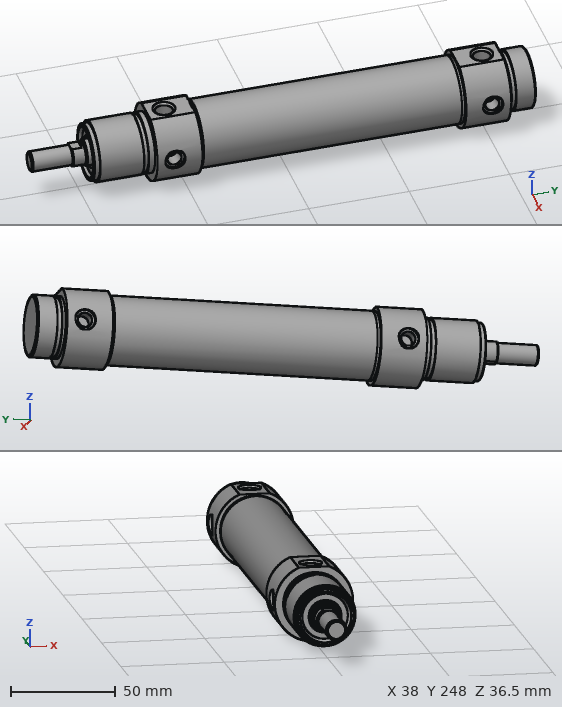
import cadquery as cq
import math

length = 248.0

thread_d = 10.0
thread_length = 20.0
tip_chamfer = 0.7
rod_d = 12.0
rod_end_d = 11.5
rod_end_length = 6.5
rod_chamfer = 0.5
across_flats = 10.0
flat_length = 5.2

head_d = 38.0
neck_d = 30.0
groove_d = 28.0
barrel_d = 33.5
head_length = 22.3
collar_length = 1.5
groove_width = 2.35

front_face_y = 28.0
lip_length = 3.0
lip_chamfer = 0.5
nose_length = 21.8
front_neck_length = 3.0

recess_mouth_d = 24.8
recess_floor_d = 22.0
recess_depth = 1.7
wiper_d = 13.0
wiper_height = 0.7
wiper_groove_mouth_d = 15.9
wiper_groove_floor_d = 14.5
wiper_groove_depth = 1.2

cap_length = 10.0
cap_bevel_length = 0.7
cap_face_d = 28.0
rear_neck_length = 1.5

flat_z = 17.48
port_offset = 13.5
port_d = 8.7
port_mouth_d = 11.0
port_chamfer = (port_mouth_d - port_d) / 2
port_depth = 7.5
bleed_d = 3.0
drill_point_angle = 118

side_mouth_d = 10.0
side_step_x = 17.4
side_hole_d = 7.0
side_floor_x = 10.0

recess_floor_y = front_face_y + recess_depth
wiper_groove_floor_y = recess_floor_y + wiper_groove_depth
wiper_tip_y = front_face_y - wiper_height
nose_start_y = front_face_y + lip_length
front_groove_y = nose_start_y + nose_length
front_neck_y = front_groove_y + groove_width
front_head_y = front_neck_y + front_neck_length
front_collar_y = front_head_y + head_length
barrel_start_y = front_collar_y + collar_length
cap_start_y = length - cap_length
cap_bevel_y = length - cap_bevel_length
rear_groove_y = cap_start_y - groove_width
rear_neck_y = rear_groove_y - rear_neck_length
rear_head_y = rear_neck_y - head_length
barrel_end_y = rear_head_y - collar_length
front_port_y = front_collar_y - port_offset
rear_port_y = rear_head_y + port_offset

up = cq.Vector(0, 0, 1)
sides = [cq.Vector(-1, 0, 0), cq.Vector(1, 0, 0)]


def cylinder(diameter, start_y, end_y):
    """Cylinder on the Y axis between two stations."""
    return cq.Workplane("XZ", origin=(0, start_y, 0)).circle(diameter / 2).extrude(start_y - end_y)


def cone(start_d, end_d, start_y, end_y):
    """Cone frustum on the Y axis between two stations."""
    outline = [(0, start_y), (start_d / 2, start_y), (end_d / 2, end_y), (0, end_y)]
    return cq.Workplane("XY").polyline(outline).close().revolve(360, (0, 0, 0), (0, 1, 0))


def radial_hole(diameter, outer_r, inner_r, y, direction):
    """Cylinder pointing at the axis, from outer_r down to inner_r along direction."""
    start = cq.Vector(0, y, 0) + direction * outer_r
    return cq.Workplane(cq.Solid.makeCylinder(diameter / 2, outer_r - inner_r, start, direction * -1))


def radial_cone(outer_d, inner_d, outer_r, inner_r, y, direction):
    """Cone pointing at the axis, from outer_d at outer_r to inner_d at inner_r along direction."""
    start = cq.Vector(0, y, 0) + direction * outer_r
    depth = outer_r - inner_r
    return cq.Workplane(cq.Solid.makeCone(outer_d / 2, inner_d / 2, depth, start, direction * -1))


def head_block(start_y, port_y):
    """Large round block with a flat top, a port in the flat and a stepped hole in each side."""
    block = cylinder(head_d, start_y, start_y + head_length)
    above_flat = cq.Workplane("XY", origin=(0, start_y + head_length / 2, flat_z)).box(
        head_d, head_length, head_d, centered=(True, True, False)
    )
    block = block.cut(above_flat)
    block = block.cut(radial_hole(port_d, flat_z, flat_z - port_depth, port_y, up))
    block = block.cut(radial_cone(port_mouth_d, port_d, flat_z, flat_z - port_chamfer, port_y, up))
    for side in sides:
        block = block.cut(radial_hole(side_mouth_d, head_d / 2, side_step_x, port_y, side))
        block = block.cut(radial_hole(side_hole_d, head_d / 2, side_floor_x, port_y, side))
    return block


def make_front_head():
    """Head that guides the rod: block, grooved nose, recessed face with wiper, and rod bore."""
    head = head_block(front_head_y, front_port_y)
    head = head.union(cylinder(groove_d, front_face_y, front_head_y).faces("<Y").chamfer(lip_chamfer))
    head = head.union(cylinder(neck_d, nose_start_y, front_groove_y))
    head = head.union(cylinder(neck_d, front_neck_y, front_head_y))
    head = head.union(cylinder(barrel_d, front_collar_y, barrel_start_y))

    head = head.cut(cone(recess_mouth_d, recess_floor_d, front_face_y, recess_floor_y))
    wiper_groove = cone(
        wiper_groove_mouth_d, wiper_groove_floor_d, recess_floor_y, wiper_groove_floor_y
    )
    head = head.cut(wiper_groove)
    head = head.union(cylinder(wiper_d, wiper_tip_y, wiper_groove_floor_y))

    head = head.cut(radial_hole(bleed_d, flat_z, rod_d / 2, front_port_y, up))
    return head.cut(cylinder(rod_d, wiper_tip_y, barrel_start_y))


def make_rear_head():
    """Closed head: block, grooved cap, and a drill point at the bottom of the port."""
    head = head_block(rear_head_y, rear_port_y)
    head = head.union(cylinder(groove_d, rear_neck_y, cap_start_y))
    head = head.union(cylinder(neck_d, rear_neck_y, rear_groove_y))
    head = head.union(cylinder(neck_d, cap_start_y, cap_bevel_y))
    head = head.union(cone(neck_d, cap_face_d, cap_bevel_y, length))
    head = head.union(cylinder(barrel_d, barrel_end_y, rear_head_y))

    port_floor_z = flat_z - port_depth
    point_depth = port_d / 2 / math.tan(math.radians(drill_point_angle / 2))
    return head.cut(radial_cone(port_d, 0, port_floor_z, port_floor_z - point_depth, rear_port_y, up))


def make_barrel():
    """Plain round barrel between the two heads."""
    return cylinder(barrel_d, barrel_start_y, barrel_end_y)


def make_rod():
    """Rod with a stepped end, two wrench flats and a thinner threaded tip."""
    rod_end_y = thread_length + rod_end_length
    rod_end = cylinder(rod_end_d, thread_length, rod_end_y).faces("<Y").chamfer(rod_chamfer)
    rod = cylinder(rod_d, rod_end_y, barrel_start_y).union(rod_end)

    flat_center_y = thread_length + flat_length / 2
    for side in (1, -1):
        waste_center_z = side * (across_flats + rod_d) / 2
        waste = cq.Workplane("XY", origin=(0, flat_center_y, waste_center_z))
        rod = rod.cut(waste.box(rod_d, flat_length, rod_d))
    return rod.union(cylinder(thread_d, 0, thread_length).faces("<Y").chamfer(tip_chamfer))


front_head = make_front_head()
rear_head = make_rear_head()
barrel = make_barrel()
rod = make_rod()

result = cq.Compound.makeCompound([front_head.val(), rear_head.val(), barrel.val(), rod.val()])